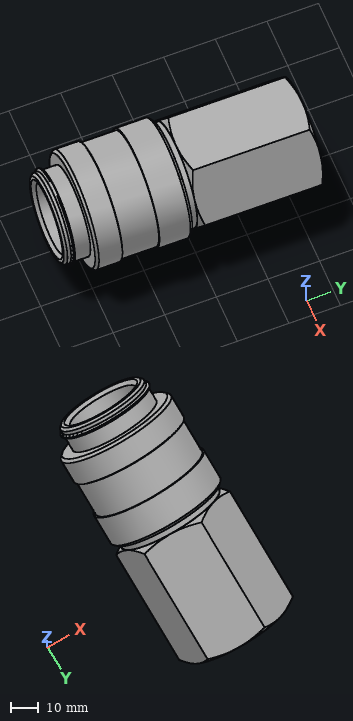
import cadquery as cq
import math

length = 99.0
front = -length / 2

nose_radius = 17.5
nose_chamfer = 1.0
ring_center = 3.1
ring_wire_radius = 0.74
ring_outer_radius = 18.5

sleeve_diameter = 46.0
sleeve_radius = sleeve_diameter / 2
sleeve_chamfer = 1.1
sleeve_start = 9.9
sleeve_end = 47.5
grip_radius = 22.3
grip_start = 20.1
grip_end = 34.5

neck_radius = 20.3
hex_start = 50.1
hex_corners = 47.3
hex_chamfer_angle = 30.0

bore_radius = 13.7
bore_chamfer = 1.5
bore_depth = sleeve_end
passage_radius = 7.5


def cylinder(radius, start, end):
    """Solid cylinder between two distances from the front face."""
    plane = cq.Plane(origin=(0, front + start, 0), xDir=(1, 0, 0), normal=(0, 1, 0))
    return cq.Workplane(plane).circle(radius).extrude(end - start)


def make_nose():
    nose = cylinder(nose_radius, 0, sleeve_start).faces("<Y").chamfer(nose_chamfer)
    ring_path_radius = ring_outer_radius - ring_wire_radius
    ring = cq.Solid.makeTorus(
        ring_path_radius,
        ring_wire_radius,
        cq.Vector(0, front + ring_center, 0),
        cq.Vector(0, 1, 0),
    )
    return nose.union(cq.Workplane(ring))


def make_sleeve():
    sleeve = cylinder(sleeve_radius, sleeve_start, sleeve_end)
    sleeve = sleeve.faces("<Y or >Y").chamfer(sleeve_chamfer)
    grip_cut = cylinder(sleeve_radius, grip_start, grip_end).cut(cylinder(grip_radius, grip_start, grip_end))
    return sleeve.cut(grip_cut)


def make_hex():
    """Hexagon with corners on X, both ends turned down to the inscribed circle."""
    plane = cq.Plane(origin=(0, front + hex_start, 0), xDir=(1, 0, 0), normal=(0, 1, 0))
    prism = cq.Workplane(plane).polygon(6, hex_corners).extrude(length - hex_start)
    corner_radius = hex_corners / 2
    flat_radius = corner_radius * math.cos(math.pi / 6)
    drop = (corner_radius - flat_radius) * math.tan(math.radians(hex_chamfer_angle))
    near = front + hex_start
    far = front + length
    turned = (
        cq.Workplane("XY")
        .polyline([
            (0, near),
            (flat_radius, near),
            (corner_radius, near + drop),
            (corner_radius, far - drop),
            (flat_radius, far),
            (0, far),
        ])
        .close()
        .revolve(360, (0, 0), (0, 1))
    )
    return prism.intersect(turned)


def make_openings():
    bore = cylinder(bore_radius, 0, bore_depth)
    mouth = (
        cq.Workplane("XY")
        .polyline([
            (0, front),
            (bore_radius + bore_chamfer, front),
            (bore_radius, front + bore_chamfer),
            (0, front + bore_chamfer),
        ])
        .close()
        .revolve(360, (0, 0), (0, 1))
    )
    return bore.union(mouth).union(cylinder(passage_radius, 0, length))


neck = cylinder(neck_radius, sleeve_end, hex_start)
result = make_nose().union(make_sleeve()).union(neck).union(make_hex()).cut(make_openings())